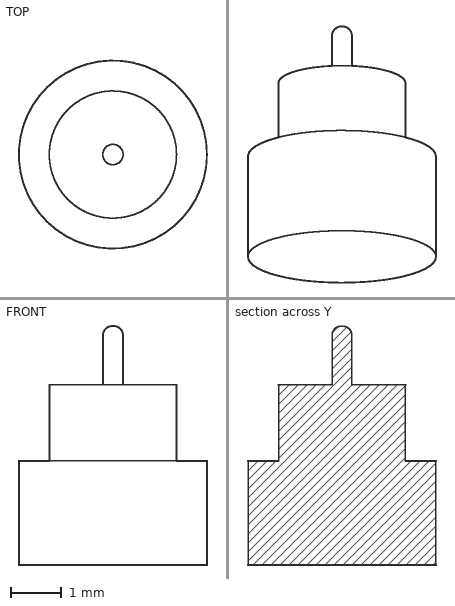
import cadquery as cq

total_height = 4.7
base_diameter = 3.7
base_height = 2.05

collar_diameter = 2.5
collar_height = 1.5
insulator_diameter = 1.95

pin_diameter = 0.4
tip_rounding = 0.19

collar_top = base_height + collar_height
pin_length = total_height - collar_top


def cylinder(diameter, height, bottom):
    """Vertical cylinder on the Z axis, starting at the given height."""
    return cq.Workplane("XY").workplane(offset=bottom).circle(diameter / 2).extrude(height)


base = cylinder(base_diameter, base_height, 0)
insulator = cylinder(insulator_diameter, collar_height, base_height)
collar = cylinder(collar_diameter, collar_height, base_height).cut(insulator)
pin = cylinder(pin_diameter, pin_length, collar_top).faces(">Z").edges().fillet(tip_rounding)

result = base
for section in (collar, insulator, pin):
    result = result.union(section, clean=False)

result = result.translate((0, 0, -total_height / 2))